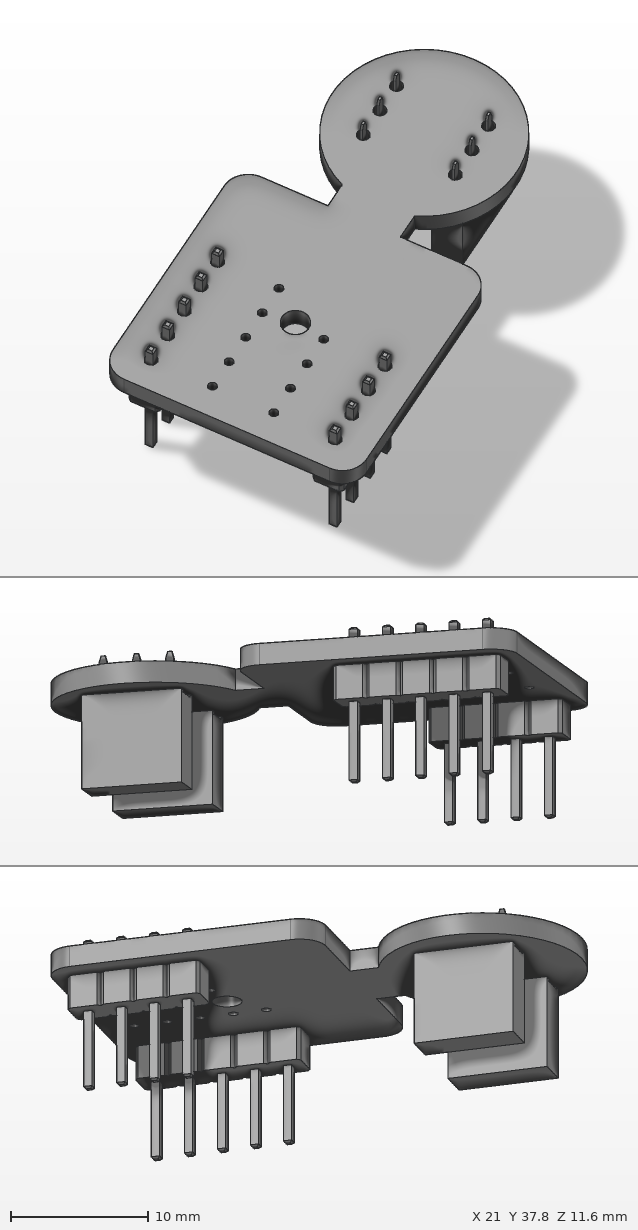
import cadquery as cq

PITCH = 2.54
GRID_Y = -7.99
HEADER_X = 3 * PITCH
SOCKET_X = 1.5 * PITCH
SPARE_HOLE_X = PITCH
LEFT_PINS = 5
RIGHT_PINS = 4
SOCKET_PINS = 3
SOCKET_Y = GRID_Y + 10 * PITCH

BOARD_BOTTOM = 0.06
BOARD_THICKNESS = 1.6
PLATE_SIZE = 21.0
PLATE_CORNER_RADIUS = 2.0
BOARD_LENGTH = 37.81
HEAD_RADIUS = 3 * PITCH
HEAD_Y = BOARD_LENGTH - PLATE_SIZE / 2 - HEAD_RADIUS
NECK_WIDTH = 6.0
MOUNTING_HOLE_DIAMETER = 2.2
PIN_HOLE_DIAMETER = 1.0
SPARE_HOLE_DIAMETER = 0.7

HOUSING_HEIGHT = 2.54
HOUSING_CHAMFER = 0.25
HEADER_PIN_WIDTH = 0.64
HEADER_PIN_TOP = 3.0
HEADER_PIN_BOTTOM = -8.54
HEADER_PIN_CHAMFER = 0.15

SOCKET_HEIGHT = 7.0
SOCKET_WIDTH = PITCH
SOCKET_LENGTH = SOCKET_PINS * PITCH
SOCKET_GROOVE_WIDTH = 1.7
SOCKET_GROOVE_DEPTH = 0.2
BLADE_THICKNESS = 0.2
BLADE_WIDTH = 0.6
BLADE_TIP_WIDTH = 0.3
BLADE_TIP_LENGTH = 0.5
BLADE_TOP = 3.1


def pin_row(x, first_y, count):
    """Points of a row of pins running along Y."""
    return [(x, first_y + index * PITCH) for index in range(count)]


def make_board():
    underside = cq.Workplane("XY", origin=(0, 0, BOARD_BOTTOM))
    plate = underside.rect(PLATE_SIZE, PLATE_SIZE).extrude(BOARD_THICKNESS)
    plate = plate.edges("|Z").fillet(PLATE_CORNER_RADIUS)
    neck = underside.center(0, HEAD_Y / 2).rect(NECK_WIDTH, HEAD_Y).extrude(BOARD_THICKNESS)
    head = underside.center(0, HEAD_Y).circle(HEAD_RADIUS).extrude(BOARD_THICKNESS)
    board = plate.union(neck).union(head)

    pin_holes = (
        pin_row(-HEADER_X, GRID_Y, LEFT_PINS)
        + pin_row(HEADER_X, GRID_Y, RIGHT_PINS)
        + pin_row(-SOCKET_X, SOCKET_Y, SOCKET_PINS)
        + pin_row(SOCKET_X, SOCKET_Y, SOCKET_PINS)
    )
    spare_holes = pin_row(-SPARE_HOLE_X, GRID_Y, LEFT_PINS) + pin_row(SPARE_HOLE_X, GRID_Y, RIGHT_PINS)
    hole_groups = [
        (pin_holes, PIN_HOLE_DIAMETER),
        (spare_holes, SPARE_HOLE_DIAMETER),
        ([(0, 0)], MOUNTING_HOLE_DIAMETER),
    ]
    for points, diameter in hole_groups:
        board = board.cut(underside.pushPoints(points).circle(diameter / 2).extrude(BOARD_THICKNESS))
    return board


def make_header(x, count):
    """Row of chamfered housing blocks under the board, with a square pin through each."""
    block = cq.Workplane("XY").rect(PITCH, PITCH).extrude(-HOUSING_HEIGHT)
    block = block.edges("|Z").chamfer(HOUSING_CHAMFER)
    pin = (
        cq.Workplane("XY", origin=(0, 0, HEADER_PIN_BOTTOM))
        .rect(HEADER_PIN_WIDTH, HEADER_PIN_WIDTH)
        .extrude(HEADER_PIN_TOP - HEADER_PIN_BOTTOM)
        .faces("<Z or >Z")
        .chamfer(HEADER_PIN_CHAMFER)
    )
    unit = block.union(pin)
    header = cq.Workplane("XY")
    for pin_x, pin_y in pin_row(x, GRID_Y, count):
        header = header.union(unit.translate((pin_x, pin_y, 0)))
    return header


def make_socket(x):
    """Socket block with a lengthwise groove in its top and flat, tapered contact blades."""
    middle_y = SOCKET_Y + (SOCKET_PINS - 1) * PITCH / 2
    socket = cq.Workplane("XY").center(x, middle_y).rect(SOCKET_WIDTH, SOCKET_LENGTH).extrude(-SOCKET_HEIGHT)
    groove = cq.Workplane("XY").center(x, middle_y).rect(SOCKET_GROOVE_WIDTH, SOCKET_LENGTH)
    socket = socket.cut(groove.extrude(-SOCKET_GROOVE_DEPTH))
    shoulder_z = BLADE_TOP - BLADE_TIP_LENGTH
    blade = (
        cq.Workplane("YZ")
        .moveTo(-BLADE_WIDTH / 2, -SOCKET_GROOVE_DEPTH)
        .lineTo(BLADE_WIDTH / 2, -SOCKET_GROOVE_DEPTH)
        .lineTo(BLADE_WIDTH / 2, shoulder_z)
        .lineTo(BLADE_TIP_WIDTH / 2, BLADE_TOP)
        .lineTo(-BLADE_TIP_WIDTH / 2, BLADE_TOP)
        .lineTo(-BLADE_WIDTH / 2, shoulder_z)
        .close()
        .extrude(BLADE_THICKNESS / 2, both=True)
    )
    for pin_x, pin_y in pin_row(x, SOCKET_Y, SOCKET_PINS):
        socket = socket.union(blade.translate((pin_x, pin_y, 0)))
    return socket


board = make_board()
headers = [make_header(-HEADER_X, LEFT_PINS), make_header(HEADER_X, RIGHT_PINS)]
sockets = [make_socket(x) for x in (-SOCKET_X, SOCKET_X)]

bodies = [board, *headers, *sockets]
result = cq.Compound.makeCompound([body.val() for body in bodies])